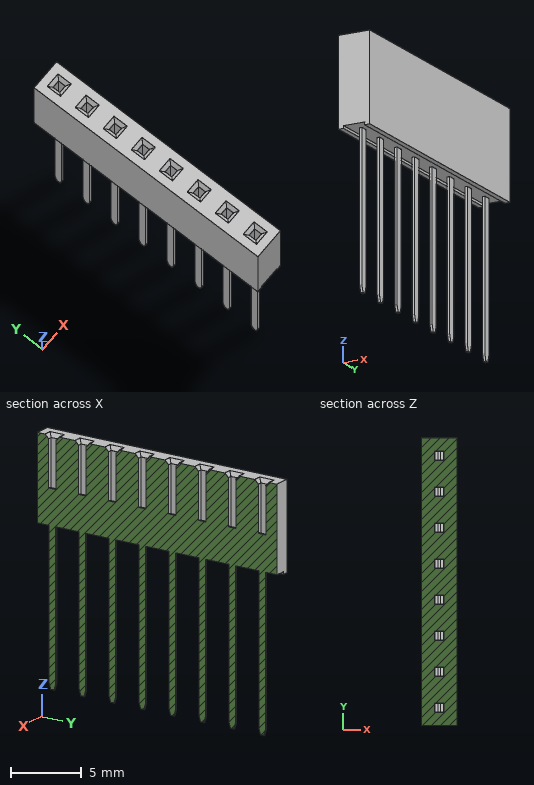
import cadquery as cq

pin_count = 8
row_length = 20.32
pitch = row_length / pin_count
housing_width = pitch
housing_height = 7.0

channel_width = 1.69
channel_depth = 0.2

mouth_size = 1.2
well_size = 0.6
funnel_depth = 0.3
well_depth = 4.06

total_height = 19.0
pin_thickness = 0.2
pin_width = well_size
tip_width = 0.3
tip_length = 0.5
pin_rise = 0.1

well_floor_z = housing_height - well_depth
pin_top_z = well_floor_z + pin_rise
pin_bottom_z = housing_height - total_height

pin_positions = [
    (0, (index - (pin_count - 1) / 2) * pitch) for index in range(pin_count)
]


def make_housing():
    block = cq.Workplane("XY").box(
        housing_width, row_length, housing_height, centered=(True, True, False)
    )
    channel = cq.Workplane("XY").box(
        channel_width, row_length, channel_depth, centered=(True, True, False)
    )
    return block.cut(channel)


def make_socket():
    """Funnel and well to be removed from the housing, centred on the Z axis."""
    funnel = (
        cq.Workplane("XY", origin=(0, 0, housing_height))
        .rect(mouth_size, mouth_size)
        .workplane(offset=-funnel_depth)
        .rect(well_size, well_size)
        .loft(ruled=True)
    )
    well = (
        cq.Workplane("XY", origin=(0, 0, well_floor_z))
        .rect(well_size, well_size)
        .extrude(well_depth - funnel_depth)
    )
    return funnel.union(well)


def make_pin():
    """Flat blade, centred on the Z axis, tapering in width at its lower end."""
    shoulder_z = pin_bottom_z + tip_length
    outline = [
        (-pin_width / 2, pin_top_z),
        (-pin_width / 2, shoulder_z),
        (-tip_width / 2, pin_bottom_z),
        (tip_width / 2, pin_bottom_z),
        (pin_width / 2, shoulder_z),
        (pin_width / 2, pin_top_z),
    ]
    return cq.Workplane("YZ").polyline(outline).close().extrude(pin_thickness / 2, both=True)


socket = make_socket()
pin = make_pin()

result = make_housing()
for position in pin_positions:
    result = result.cut(socket.translate((*position, 0)))
    result = result.union(pin.translate((*position, 0)))